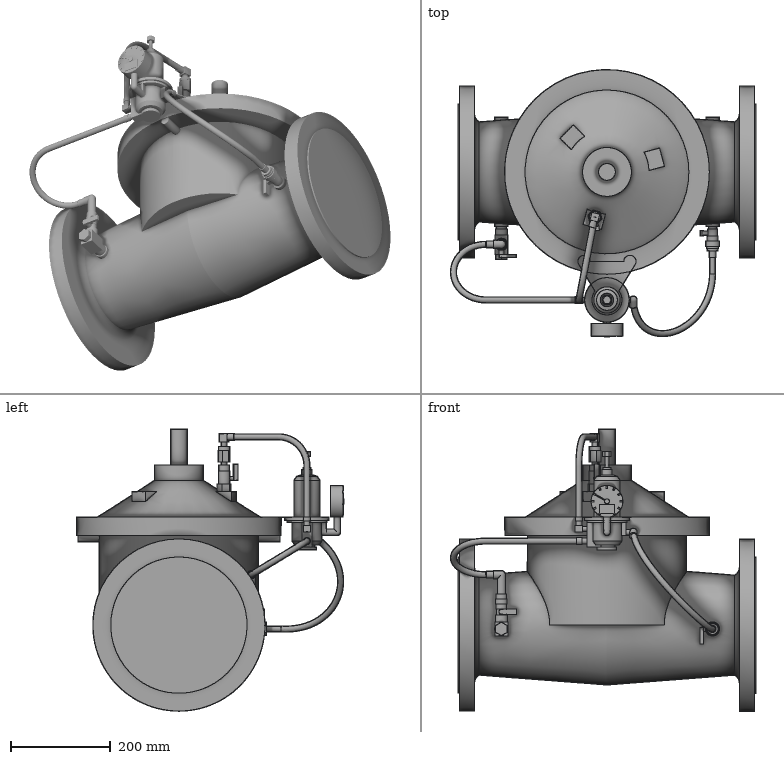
import cadquery as cq
import math


face_to_centre = 299.5
raised_face_height = 3.0
raised_face_radius = 137.0
pipe_flange_radius = 173.0
pipe_flange_thickness = 30.5
neck_fillet_radius = 18.5
neck_fillet_angle = 60
pipe_end_radius = 100.5
pipe_mid_radius = 120.0
bonnet_radius = 160.0
cross_pin_radius = 8.5
cross_pin_length = 406.0
cross_pin_height = 175.5

cover_radius = 205.5
cover_bottom = 180.0
cover_top = 216.5
cone_base_radius = 164.5
cone_top_radius = 49.0
cone_top = 291.0
hub_top = 321.5
stem_radius = 16.9
stem_top = 393.0
lug_pitch_radius = 97.0
lug_top = 268.0
lug_height = 37.0
lug_radial = 35.0
lug_tangential = 38.0
lug_angles = (15, 135, 255)

tube_radius = 6.0
ferrule_radius = 7.05

pilot_y = -257.0
pilot_body_radius = 30.0
pilot_disc_radius = 45.0
pilot_disc_bottom = 206.0
pilot_port_height = 186.5
pilot_block_left = -40.5
pilot_block_bottom = 157.0
pilot_block_width = 20.0

bracket_bottom = 216.0
bracket_thickness = 1.0
ear_x = 46.0
ear_y = -180.0
ear_radius = 12.0

gauge_radius = 32.0
gauge_back = -304.0
gauge_front = -329.5
gauge_height = 248.5
gauge_stem_y = -318.0
gauge_stem_radius = 7.0
relief = 1.0

tapping_x = 211.95
tapping_height = -7.65
tapping_radius = 13.5
tapping_end = 110.0
left_riser_y = -145.5
left_elbow_height = 101.0
left_elbow_radius = 8.3

loop_x = -243.0
lower_tube_height = 169.0
cover_port_angle = 255
cover_valve_radius = 94.0
cover_lever_turn = 24
cover_tube_height = 378.0
cover_tube_bend = 57.5
drop_x = -56.5


def cylinder(start, direction, radius, length):
    return cq.Workplane(cq.Solid.makeCylinder(radius, length, cq.Vector(*start), cq.Vector(*direction)))


def box(x_range, y_range, z_range):
    """Box between the two limits given for each axis."""
    spans = [high - low for low, high in (x_range, y_range, z_range)]
    corner = (x_range[0], y_range[0], z_range[0])
    return cq.Workplane("XY").box(*spans, centered=False).translate(corner)


def turned(profile):
    """Revolve (radius, height) points about the Z axis; the ends are closed on the axis."""
    outline = [(0, profile[0][1])] + profile + [(0, profile[-1][1])]
    return cq.Workplane("XZ").polyline(outline).close().revolve(360, (0, 0, 0), (0, 1, 0))


def stack(base_height, steps):
    """Stepped turned column on the Z axis from (radius, top height) steps."""
    profile = []
    bottom = base_height
    for radius, top in steps:
        profile += [(radius, bottom), (radius, top)]
        bottom = top
    return turned(profile)


def tube(edges, radius=tube_radius):
    """Round tube along a chain of edges."""
    path = cq.Wire.assembleEdges(edges)
    start = path.startPoint()
    plane = cq.Plane(origin=start, normal=edges[0].tangentAt(0))
    return cq.Workplane(plane).circle(radius).sweep(cq.Workplane(path))


def line(start, end):
    return cq.Edge.makeLine(cq.Vector(*start), cq.Vector(*end))


def arc(start, middle, end):
    return cq.Edge.makeThreePointArc(cq.Vector(*start), cq.Vector(*middle), cq.Vector(*end))


def join(parts):
    body = parts[0]
    for part in parts[1:]:
        body = body.union(part)
    return body


def valve_body():
    flange_front = face_to_centre - raised_face_height
    flange_back = flange_front - pipe_flange_thickness
    sweep = math.radians(neck_fillet_angle)
    fillet_centre = (pipe_end_radius + neck_fillet_radius * math.sin(sweep), flange_back - neck_fillet_radius)

    def on_fillet(angle):
        return (fillet_centre[0] - neck_fillet_radius * math.sin(angle),
                fillet_centre[1] + neck_fillet_radius * math.cos(angle))

    half_pipe = (
        cq.Workplane("XZ")
        .lineTo(pipe_mid_radius, 0)
        .lineTo(*on_fillet(sweep))
        .threePointArc(on_fillet(sweep / 2), on_fillet(0))
        .lineTo(pipe_flange_radius, flange_back)
        .lineTo(pipe_flange_radius, flange_front)
        .lineTo(raised_face_radius, flange_front)
        .lineTo(raised_face_radius, face_to_centre)
        .lineTo(0, face_to_centre)
        .close()
        .revolve(360, (0, 0, 0), (0, 1, 0))
    )
    right_pipe = half_pipe.rotate((0, 0, 0), (0, 1, 0), 90)
    left_pipe = half_pipe.rotate((0, 0, 0), (0, 1, 0), -90)
    bonnet = cylinder((0, 0, 0), (0, 0, 1), bonnet_radius, cover_bottom)
    pin_start = (0, -cross_pin_length / 2, cross_pin_height)
    cross_pin = cylinder(pin_start, (0, 1, 0), cross_pin_radius, cross_pin_length)
    return join([right_pipe, left_pipe, bonnet, cross_pin])


def cover():
    shell = turned([
        (cover_radius, cover_bottom),
        (cover_radius, cover_top),
        (cone_base_radius, cover_top),
        (cone_top_radius, cone_top),
        (cone_top_radius, hub_top),
        (stem_radius, hub_top),
        (stem_radius, stem_top),
    ])
    lug = cq.Workplane("XY").box(lug_radial, lug_tangential, lug_height)
    lug = lug.translate((lug_pitch_radius, 0, lug_top - lug_height / 2))
    return join([shell] + [lug.rotate((0, 0, 0), (0, 0, 1), angle) for angle in lug_angles])


def bracket():
    """Plate with two ears on the cover, tapering to the pilot."""
    taper = (
        cq.Workplane("XY", origin=(0, 0, bracket_bottom))
        .polyline([(-ear_x, ear_y), (ear_x, ear_y), (ear_x + 11.0, ear_y - 5.5), (pilot_body_radius - 6, -239),
                   (6 - pilot_body_radius, -239), (-ear_x - 11.0, ear_y - 5.5)])
        .close().extrude(bracket_thickness)
    )
    seat = cylinder((0, pilot_y, bracket_bottom), (0, 0, 1), pilot_body_radius, bracket_thickness)
    ears = [cylinder((x, ear_y, bracket_bottom), (0, 0, 1), ear_radius, bracket_thickness) for x in (-ear_x, ear_x)]
    return join([taper, seat] + ears)


def pilot():
    column = turned([
        (19.5, 151.0), (19.5, 156.5), (16.0, 156.5), (16.0, 161.0), (24.5, 161.0), (pilot_body_radius, 169.0),
        (pilot_body_radius, pilot_disc_bottom), (40.5, pilot_disc_bottom),
        (40.5, 210.5), (pilot_disc_radius, 210.5), (pilot_disc_radius, 216.5),
        (26.5, 216.5), (26.5, 291.0), (21.0, 299.0), (13.5, 301.0), (10.5, 301.0), (10.5, 312.0),
        (8.0, 312.0), (8.0, 316.5), (3.5, 316.5), (3.5, 338.5),
    ])
    screw_head = cq.Workplane("XY", origin=(0, 0, 338.5)).polygon(6, 17.0).extrude(10.0)
    half_width = pilot_block_width / 2
    left_block = box((pilot_block_left, 0), (-half_width, half_width), (pilot_block_bottom, pilot_disc_bottom))
    right_boss = box((0, 38.5), (-7.0, 7.0), (180.5, pilot_disc_bottom))
    front_boss = box((-7.0, 7.0), (-39.0, 0), (pilot_port_height, pilot_disc_bottom))
    front_boss_foot = cylinder((0, 0, pilot_port_height), (0, -1, 0), 7.0, 39.0)
    body = join([column, screw_head, left_block, right_boss, front_boss, front_boss_foot])
    return body.translate((0, pilot_y, 0))


def gauge():
    case = cylinder((0, gauge_back, gauge_height), (0, -1, 0), gauge_radius, gauge_back - gauge_front)
    hub = cylinder((0, gauge_front, gauge_height), (0, -1, 0), 5.0, 2.0)
    dial = (gauge_front - relief, gauge_front)
    window = box((-15.5, 15.5), dial, (224.0, 242.0))
    needle = box((-0.9, 0.9), dial, (0, 24.5)).rotate((0, 0, 0), (0, 1, 0), -60).translate((0, 0, gauge_height))
    mark = box((-1.55, 1.55), dial, (26.0, 30.5))
    marks = [mark.rotate((0, 0, 0), (0, 1, 0), 30 * i).translate((0, 0, gauge_height)) for i in range(-5, 6)]
    stem_bottom = (0, gauge_stem_y, pilot_port_height)
    stem = cylinder(stem_bottom, (0, 0, 1), gauge_stem_radius, gauge_height - pilot_port_height)
    inlet = cylinder(stem_bottom, (0, 1, 0), gauge_stem_radius, pilot_y - gauge_stem_y)
    elbow = cq.Workplane("XY").sphere(gauge_stem_radius).translate(stem_bottom)
    return join([case, hub, window, needle, stem, inlet, elbow] + marks)


def pipe_tappings():
    """Bosses on both sides of the pipe near each flange."""
    bosses = []
    for x in (-tapping_x, tapping_x):
        start = (x, -tapping_end, tapping_height)
        bosses.append(cylinder(start, (0, 1, 0), tapping_radius, 2 * tapping_end))
    return join(bosses)


def left_valve():
    """Cock on the left tapping: a cross block with a riser, elbow, lever and hexagon plug."""
    z = tapping_height
    side = stack(tapping_end - 6, [(10.5, 114.0), (12.0, 129)]).rotate((0, 0, 0), (1, 0, 0), 90).translate((0, 0, z))
    block = box((-13.2, 13.2), (-165.5, -126.5), (z - 14.0, z + 14.0))
    plug = cq.Workplane("XZ", origin=(0, -165.5, z)).polygon(6, 27.0).extrude(10.0)
    plug = plug.rotate((0, 0, z), (0, 1, z), 30)
    riser = stack(z, [(12.0, 20.0), (10.0, 32.0), (10.5, 42.5), (11.5, 52.0), (10.5, 62.5), (left_elbow_radius, left_elbow_height)])
    riser = riser.translate((0, left_riser_y, 0))
    corner = (0, left_riser_y, left_elbow_height)
    elbow = cq.Workplane("XY").sphere(left_elbow_radius).translate(corner)
    outlet = cylinder(corner, (-1, 0, 0), left_elbow_radius, 15.5)
    ferrule = cylinder(corner, (-1, 0, 0), ferrule_radius, 30.0)
    pivot = cylinder((0, left_riser_y, 27.0), (0, -1, 0), 5.0, 26.5)
    lever = box((-3.5, 30.0), (-172, -166.0), (21.5, 32.0))
    return join([side, block, plug, riser, elbow, outlet, ferrule, pivot, lever]).translate((-tapping_x, 0, 0))


def right_valve():
    steps = [(8.5, 114.0), (10.1, 129), (11.35, 138.5), (14.0, 149.5), (12.0, 153.5), (11.0, 158.0), (ferrule_radius, 172)]
    column = stack(tapping_end - 6, steps).rotate((0, 0, 0), (1, 0, 0), 90)
    pivot = box((-21.0, 0), (-127.5, -118.5), (-5.0, 5.0))
    lever = box((-25.0, -18.5), (-129, -117.0), (-30.0, 3.0))
    return join([column, pivot, lever]).translate((tapping_x, 0, tapping_height))


def cover_valve():
    """Cock standing on the front cover lug, lever facing the front."""
    column = stack(lug_top, [(11.5, 310.0), (11.0, 321.5), (6.0, 351.0), (11.5, 359.0), (6.0, 367.5)])
    base_nut = cq.Workplane("XY", origin=(0, 0, lug_top)).polygon(6, 29.5).extrude(15.5)
    union_nut = cq.Workplane("XY", origin=(0, 0, 327.0)).polygon(6, 24.5).extrude(24.0)
    elbow = box((-8.0, 8.0), (-8.0, 8.0), (367.5, 384.5))
    ferrule = cylinder((0, 0, cover_tube_height), (1, 0, 0), ferrule_radius, 21.5)
    pivot = cylinder((0, 0, 294.5), (1, 0, 0), 4.0, 24.5)
    lever = box((19.0, 27.5), (-5.0, 5.0), (291.0, 323.5))
    handle = pivot.union(lever).rotate((0, 0, 0), (0, 0, 1), cover_lever_turn)
    nuts = base_nut.union(union_nut).rotate((0, 0, 0), (0, 0, 1), 30)
    valve = join([column, nuts, elbow, ferrule, handle])
    return valve.translate((cover_valve_radius, 0, 0)).rotate((0, 0, 0), (0, 0, 1), cover_port_angle)


def lower_tube():
    """Left tapping to pilot: a half-circle loop in a tilted plane and a straight run."""
    start = (loop_x, left_riser_y, left_elbow_height)
    turn = (loop_x, pilot_y, lower_tube_height)
    loop_radius = math.dist(start, turn) / 2
    middle = (loop_x - loop_radius, (left_riser_y + pilot_y) / 2, (left_elbow_height + lower_tube_height) / 2)
    run = tube([arc(start, middle, turn), line(turn, (pilot_block_left, pilot_y, lower_tube_height))])
    nut = cylinder((-61.5, pilot_y, lower_tube_height), (1, 0, 0), ferrule_radius, 11.0)
    return run.union(nut)


def upper_tube():
    """Cover cock to pilot: level run, quarter bend and vertical drop."""
    angle = math.radians(cover_port_angle)
    start = (cover_valve_radius * math.cos(angle), cover_valve_radius * math.sin(angle), cover_tube_height)
    run_x = drop_x - start[0]
    run_y = pilot_y - start[1]
    run_length = math.hypot(run_x, run_y)

    def on_run(back, drop):
        share = 1 - back / run_length
        return (start[0] + share * run_x, start[1] + share * run_y, cover_tube_height - drop)

    bend_start = on_run(cover_tube_bend, 0)
    near = cover_tube_bend * (1 - math.sqrt(0.5))
    bend_end = on_run(0, cover_tube_bend)
    foot = (drop_x, pilot_y, 193.0)
    run = tube([line(start, bend_start), arc(bend_start, on_run(near, near), bend_end), line(bend_end, foot)])
    nut = cylinder((drop_x, pilot_y, 208.5), (0, 0, 1), ferrule_radius, 8.5)
    elbow = box((-64.0, -49), (pilot_y - 7.5, pilot_y + 7.5), (187.0, 200.0))
    stub = cylinder((drop_x, pilot_y, 193.0), (1, 0, 0), 5.0, 24.5)
    return join([run, nut, elbow, stub])


def right_tube():
    """Pilot to right tapping: a free hanging curve."""
    corner = (53.0, pilot_y, pilot_port_height)
    stub = cylinder((0, pilot_y, pilot_port_height), (1, 0, 0), 5.8, corner[0])
    ball = cq.Workplane("XY").sphere(8.0).translate(corner)
    socket = cylinder(corner, (0, -0.86, -0.5), 8.0, 15.0)
    points = [(53.5, -265.0, 181.5), (108.5, -324.5, 91.0), (189.0, -278.5, 8.5), (tapping_x, -205.0, tapping_height)]
    hose = tube([cq.Edge.makeSpline([cq.Vector(*point) for point in points])])
    tail = cylinder(points[-1], (0, 1, 0), 5.8, 43)
    return join([stub, ball, socket, hose, tail])


result = join([
    valve_body(), cover(), pipe_tappings(), bracket(), pilot(), gauge(),
    left_valve(), right_valve(), cover_valve(), lower_tube(), upper_tube(), right_tube(),
])